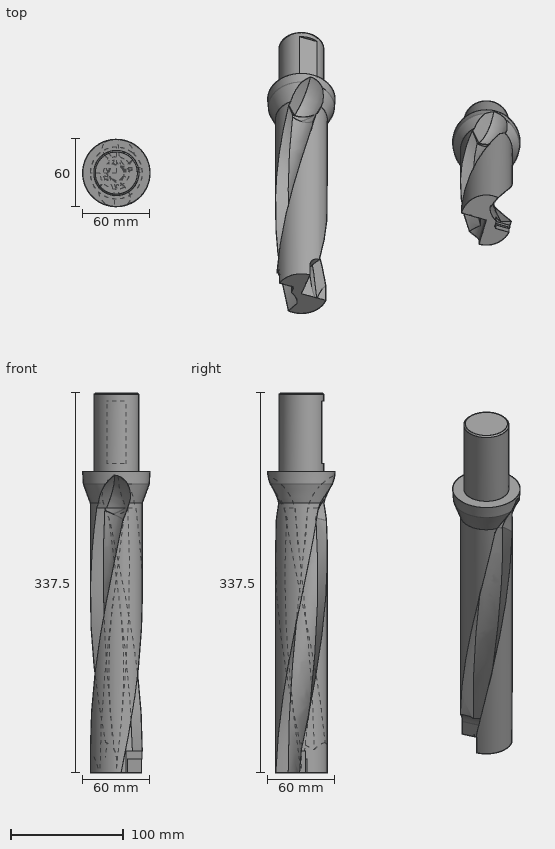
import cadquery as cq
import math

total_length = 337.5
flange_top = 268.0
flange_edge = 257.0
cone_bottom = 239.7

shank_radius = 20.1
flange_radius = 30.0
flange_edge_radius = 29.5
body_radius = 23.13
shank_chamfer = 1.5

flat_distance = 18.2
flat_bottom = 275.2
flat_top = 330.5

flute_half_angle = 34.5
flute_floor_out = 6.5
trailing_corner = (8.0, -8.5)
leading_corner = (10.0, 10.5)
flute_mouth_out = body_radius * math.cos(math.radians(flute_half_angle))
flute_mouth_half_width = body_radius * math.sin(math.radians(flute_half_angle))

flute_start_angle = 135.0
twist_per_unit = 0.5123
runout_start = 229.5
runout_radius = 41.2
runout_tilt = 25.0

outer_pocket_height = 28.0
outer_pocket_round = 14.5

relief_wall = 8.8
relief_depth_plane = 3.7
relief_height = 19.5
seat_wall = 9.8
seat_depth_plane = 5.0
seat_height = 12.5

cut_margin = 10.0
cut_reach = body_radius + cut_margin


def turned_blank():
    return (
        cq.Workplane("XZ")
        .moveTo(0, 0)
        .lineTo(body_radius, 0)
        .lineTo(body_radius, cone_bottom)
        .lineTo(flange_edge_radius, flange_edge)
        .lineTo(flange_radius, flange_top)
        .lineTo(shank_radius, flange_top)
        .lineTo(shank_radius, total_length - shank_chamfer)
        .lineTo(shank_radius - shank_chamfer, total_length)
        .lineTo(0, total_length)
        .close()
        .revolve(360, (0, 0, 0), (0, 1, 0))
    )


def shank_flat():
    return (
        cq.Workplane("XY", origin=(0, flat_distance + shank_radius, flat_bottom))
        .rect(2 * shank_radius, 2 * shank_radius)
        .extrude(flat_top - flat_bottom)
    )


def beyond(corner, mouth):
    """Point on the flute wall from corner through mouth, clear of the body."""
    stretch = (cut_reach - corner[0]) / (mouth[0] - corner[0])
    return (
        corner[0] + stretch * (mouth[0] - corner[0]),
        corner[1] + stretch * (mouth[1] - corner[1]),
    )


def flute_profile(plane):
    """Tapered slot with a hollow floor, opening along the plane's local X."""
    trailing_mouth = (flute_mouth_out, -flute_mouth_half_width)
    leading_mouth = (flute_mouth_out, flute_mouth_half_width)
    return (
        cq.Workplane(plane)
        .moveTo(*beyond(trailing_corner, trailing_mouth))
        .lineTo(*trailing_corner)
        .threePointArc((flute_floor_out, 0), leading_corner)
        .lineTo(*beyond(leading_corner, leading_mouth))
        .close()
    )


def outward_plane(height, angle, tilt=0.0):
    """Plane on the tool axis with local X outward at the angle and its normal leaning counter-clockwise."""
    turn = math.radians(angle)
    lean = math.radians(tilt)
    return cq.Plane(
        origin=(0, 0, height),
        xDir=(math.cos(turn), math.sin(turn), 0),
        normal=(-math.sin(turn) * math.sin(lean), math.cos(turn) * math.sin(lean), math.cos(lean)),
    )


def flute():
    """Helical cut and the arc that runs it out through the flange."""
    twist = twist_per_unit * runout_start
    start = outward_plane(0, flute_start_angle)
    end = outward_plane(runout_start, flute_start_angle + twist, runout_tilt)
    pivot = flute_floor_out + runout_radius
    helix_top = runout_start + flute_mouth_half_width * math.tan(math.radians(runout_tilt))
    helix = flute_profile(start).twistExtrude(helix_top, twist_per_unit * helix_top)
    runout = flute_profile(end).revolve(90, (pivot, 0, 0), (pivot, 1, 0))
    return helix, runout


def outer_pocket():
    """Quadrant cut back to the X = 0 and Y = 0 planes, with a rounded roof."""
    return (
        cq.Workplane("XZ")
        .moveTo(0, 0)
        .lineTo(0, outer_pocket_height - outer_pocket_round)
        .radiusArc((-outer_pocket_round, outer_pocket_height), -outer_pocket_round)
        .lineTo(-cut_reach, outer_pocket_height)
        .lineTo(-cut_reach, 0)
        .close()
        .extrude(-cut_reach)
    )


def inner_pocket_step(wall, depth_plane, height):
    """Block open to +X, -Y and the tip, from X = wall and up to Y = depth_plane."""
    return cq.Workplane("XY").box(
        cut_reach - wall, cut_reach + depth_plane, height, centered=False
    ).translate((wall, -cut_reach, 0))


result = turned_blank().cut(shank_flat())
flute_pieces = flute()
for start_turn in (0, 180):
    for piece in flute_pieces:
        result = result.cut(piece.rotate((0, 0, 0), (0, 0, 1), start_turn))

result = result.cut(outer_pocket())
result = result.cut(inner_pocket_step(relief_wall, relief_depth_plane, relief_height))
result = result.cut(inner_pocket_step(seat_wall, seat_depth_plane, seat_height))